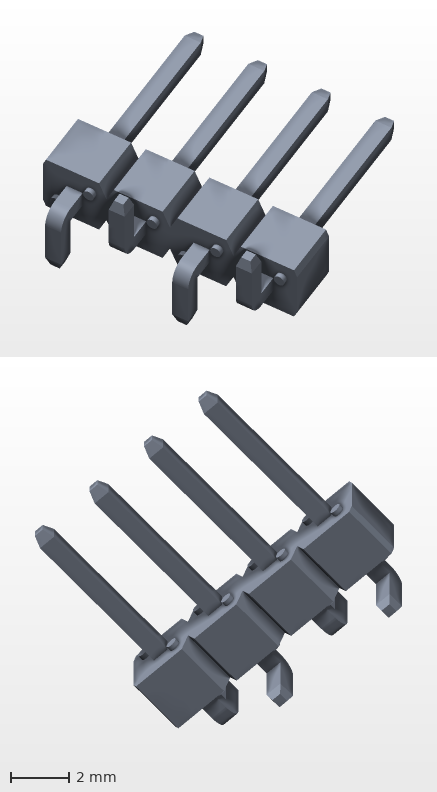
import cadquery as cq
import math

overall_length = 10.16
overall_depth = 9.85
overall_height = 4.83
pin_count = 4
pitch = overall_length / pin_count

housing_depth = 2.16
housing_height = 2.42
notch_half_width = 0.29
notch_depth = 0.66
end_bevel_width = 0.12
end_bevel_height = 0.29

peg_diameter = 0.42
peg_height = 0.19
peg_offset_x = 0.66
peg_offset_z = 0.56

pin_size = 0.64
pin_front_overhang = 1.45
tip_length = 0.42
tip_size = 0.37

half_length = overall_length / 2
half_height = housing_height / 2
half_pin = pin_size / 2
pin_front_y = -housing_depth / 2 - pin_front_overhang
pin_back_y = pin_front_y + overall_depth
leg_end_z = overall_height / 2
leg_center_y = pin_front_y + half_pin
tip_angle = math.degrees(math.atan((pin_size - tip_size) / 2 / tip_length))
cell_centers = [(i - (pin_count - 1) / 2) * pitch for i in range(pin_count)]


def notched_edge():
    """Points of the upper housing edge, left to right, with a V notch between neighbouring cells."""
    points = [
        (-half_length, half_height - end_bevel_height),
        (-half_length + end_bevel_width, half_height),
    ]
    for i in range(1, pin_count):
        notch_x = -half_length + i * pitch
        points += [
            (notch_x - notch_half_width, half_height),
            (notch_x, half_height - notch_depth),
            (notch_x + notch_half_width, half_height),
        ]
    points += [
        (half_length - end_bevel_width, half_height),
        (half_length, half_height - end_bevel_height),
    ]
    return points


def make_housing():
    """Notched block with standoff pegs on both faces and a square through hole for each pin."""
    upper_edge = notched_edge()
    lower_edge = [(x, -z) for x, z in reversed(upper_edge)]
    block = (
        cq.Workplane("XZ")
        .polyline(upper_edge + lower_edge)
        .close()
        .extrude(housing_depth / 2, both=True)
    )

    peg_centers = [
        (x + side * peg_offset_x, side * peg_offset_z)
        for x in cell_centers
        for side in (-1, 1)
    ]
    pegs = (
        cq.Workplane("XZ")
        .pushPoints(peg_centers)
        .circle(peg_diameter / 2)
        .extrude(housing_depth / 2 + peg_height, both=True)
    )

    pin_holes = (
        cq.Workplane("XZ")
        .pushPoints([(x, 0) for x in cell_centers])
        .rect(pin_size, pin_size)
        .extrude(housing_depth, both=True)
    )
    return block.union(pegs).cut(pin_holes)


def make_tip(base_center, direction):
    """Tapered square point growing from base_center along direction."""
    base = cq.Plane(origin=base_center, xDir=(1, 0, 0), normal=direction)
    return cq.Workplane(base).rect(pin_size, pin_size).extrude(tip_length, taper=tip_angle)


def make_pin(center_x, leg_side):
    """Square pin along Y whose front leg turns up (leg_side 1) or down (leg_side -1)."""
    bend_y = pin_front_y + pin_size
    shaft_end_y = pin_back_y - tip_length
    leg_shoulder_z = leg_side * (leg_end_z - tip_length)
    inner_z = leg_side * half_pin

    arc_reach = pin_size * math.sqrt(0.5)
    arc_middle = (bend_y - arc_reach, inner_z - leg_side * arc_reach)
    bent_bar = (
        cq.Workplane("YZ", origin=(center_x, 0, 0))
        .moveTo(shaft_end_y, -inner_z)
        .lineTo(bend_y, -inner_z)
        .threePointArc(arc_middle, (pin_front_y, inner_z))
        .lineTo(pin_front_y, leg_shoulder_z)
        .lineTo(bend_y, leg_shoulder_z)
        .lineTo(bend_y, inner_z)
        .lineTo(shaft_end_y, inner_z)
        .close()
        .extrude(half_pin, both=True)
    )
    shaft_tip = make_tip((center_x, shaft_end_y, 0), (0, 1, 0))
    leg_tip = make_tip((center_x, leg_center_y, leg_shoulder_z), (0, 0, leg_side))
    return bent_bar.union(shaft_tip).union(leg_tip)


housing = make_housing()

pins = []
for i, center_x in enumerate(cell_centers):
    leg_side = -1 if i % 2 == 0 else 1
    pins.append(make_pin(center_x, leg_side))

result = cq.Compound.makeCompound([housing.solids().val(), *[pin.solids().val() for pin in pins]])